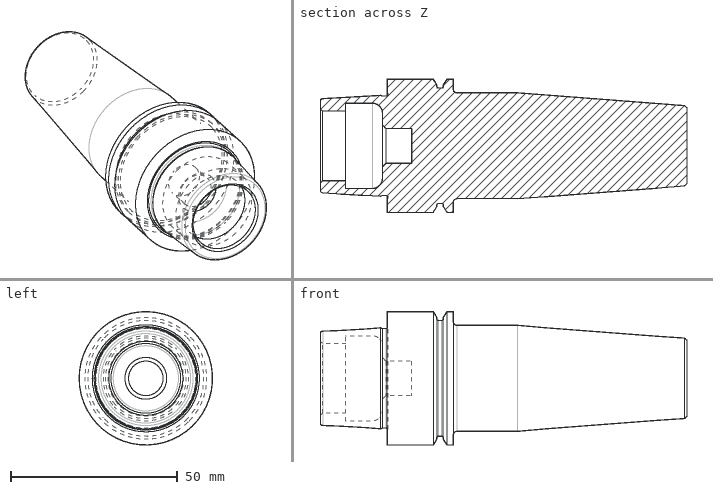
import cadquery as cq

total_length = 109.9

shank_rim_radius = 14.2
shank_rim_fillet = 0.8
taper_end = 18.0
taper_end_radius = 15.2

undercut_start = 18.6
undercut_radius = 15.0
undercut_fillet = 0.5
flange_relief_depth = 0.2
flange_relief_radius = 16.0

flange_radius = 20.0
flange_start = 20.0
flange_end = 39.9
groove_start = 35.0
groove_end = 36.8
groove_radius = 17.4
groove_corner_fillet = 0.4
groove_chamfer_length = 1.1
groove_chamfer_height = 1.8

nose_radius = 15.9
nose_root_fillet = 1.0
cone_start = 59.0
cone_end_radius = 12.1
cone_end_chamfer = 0.8

bore_radius = 10.4
bore_mouth_chamfer = 0.7
bore_length = 7.6
cavity_radius = 12.7
cavity_floor = 18.6
cavity_fillet = 3.0

hole_radius = 5.2
hole_chamfer = 1.1
hole_depth = 8.8


def turn(profile):
    """Close a half profile and turn it about the X axis."""
    return profile.close().revolve(360, (0, 0, 0), (1, 0, 0))


def make_body():
    relief_floor = flange_start + flange_relief_depth
    groove_chamfer_foot = flange_radius - groove_chamfer_height

    profile = cq.Workplane("XY").moveTo(0, 0)

    profile = (
        profile
        .lineTo(0, shank_rim_radius - shank_rim_fillet)
        .radiusArc((shank_rim_fillet, shank_rim_radius), shank_rim_fillet)
        .lineTo(taper_end, taper_end_radius)
    )

    profile = (
        profile
        .lineTo(undercut_start, undercut_radius)
        .lineTo(relief_floor - undercut_fillet, undercut_radius)
        .radiusArc((relief_floor, undercut_radius + undercut_fillet), -undercut_fillet)
        .lineTo(flange_start, flange_relief_radius)
    )

    profile = (
        profile
        .lineTo(flange_start, flange_radius)
        .lineTo(groove_start - groove_chamfer_length, flange_radius)
        .lineTo(groove_start, groove_chamfer_foot)
        .lineTo(groove_start, groove_radius + groove_corner_fillet)
        .radiusArc((groove_start + groove_corner_fillet, groove_radius), -groove_corner_fillet)
        .lineTo(groove_end - groove_corner_fillet, groove_radius)
        .radiusArc((groove_end, groove_radius + groove_corner_fillet), -groove_corner_fillet)
        .lineTo(groove_end, groove_chamfer_foot)
        .lineTo(groove_end + groove_chamfer_length, flange_radius)
        .lineTo(flange_end, flange_radius)
    )

    profile = (
        profile
        .lineTo(flange_end, nose_radius + nose_root_fillet)
        .radiusArc((flange_end + nose_root_fillet, nose_radius), -nose_root_fillet)
        .lineTo(cone_start, nose_radius)
        .lineTo(total_length - cone_end_chamfer, cone_end_radius)
        .lineTo(total_length, cone_end_radius - cone_end_chamfer)
        .lineTo(total_length, 0)
    )
    return turn(profile)


def make_cavity():
    hole_end = cavity_floor + hole_depth

    profile = cq.Workplane("XY").moveTo(0, 0)

    profile = (
        profile
        .lineTo(0, bore_radius + bore_mouth_chamfer)
        .lineTo(bore_mouth_chamfer, bore_radius)
        .lineTo(bore_length, bore_radius)
        .lineTo(bore_length, cavity_radius)
        .lineTo(cavity_floor - cavity_fillet, cavity_radius)
        .radiusArc((cavity_floor, cavity_radius - cavity_fillet), cavity_fillet)
    )

    profile = (
        profile
        .lineTo(cavity_floor, hole_radius + hole_chamfer)
        .lineTo(cavity_floor + hole_chamfer, hole_radius)
        .lineTo(hole_end, hole_radius)
        .lineTo(hole_end, 0)
    )
    return turn(profile)


result = make_body().cut(make_cavity())